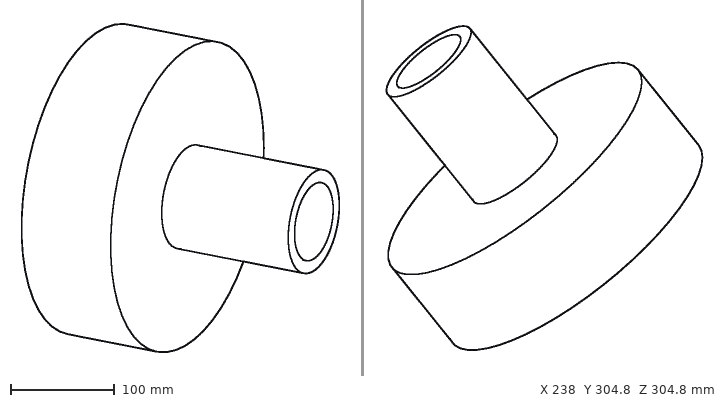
import cadquery as cq

disc_diameter = 304.8
disc_thickness = 98.5
overall_length = 238.0
hub_diameter = 101.8
bore_diameter = 76.8

disc = cq.Workplane("YZ").circle(disc_diameter / 2).extrude(disc_thickness)

hub = cq.Workplane("YZ").circle(hub_diameter / 2).extrude(overall_length)

bore = cq.Workplane("YZ").circle(bore_diameter / 2).extrude(overall_length)

result = disc.union(hub).cut(bore)